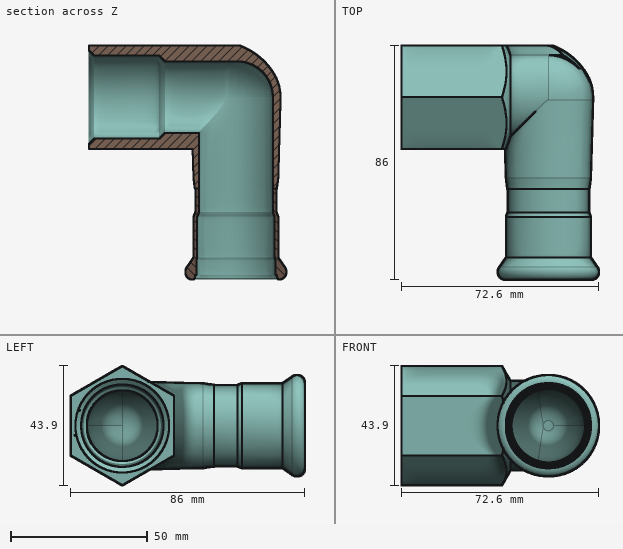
import cadquery as cq
import math


hex_corner_diameter = 43.9
hex_corner_radius = hex_corner_diameter / 2
hex_flat_radius = hex_corner_radius * math.cos(math.radians(30))
hex_mouth_x = -53.9
hex_corner_end_x = -17.0
hex_chamfer_angle = 30.0

neck_radius = 16.5
arm_end_radius = 15.65
arm_end_y = -29.6
joint_radius = 15.1
joint_y = -33.6

ridge_crest_half_width = 1.6
ridge_foot_half_width = 5.9
ridge_foot_y = 15.4
ridge_nose_start_x = 1.5
ridge_nose_mid = (8.2, 15.2)
ridge_nose_end = (12.7, 10.6)

branch_bore_radius = 26.0 / 2
thread_radius = 30.3 / 2
thread_mouth_radius = 17.2
thread_depth = 25.8
tube_bore_radius = 27.0 / 2
bore_end_flat_radius = 1.9
bore_end_round_mid = (9.7, 9.2)

tube_radius = 30.0 / 2
socket_radius = 31.3 / 2
socket_bore_radius = 28.2 / 2
step_start_y = -42.2
step_end_y = -43.9
lip_bore_start_y = -59.7
bead_start_y = -58.8
bead_shoulder_y = -62.2
bead_shoulder_radius = 18.0
bead_crest_radius = 18.7
bead_crest_y = -64.15
mouth_y = hex_flat_radius - 86.0
mouth_radius = 31.3 / 2
lip_radius = 28.8 / 2
lip_depth = 1.7
mouth_step_radius = 30.0 / 2
mouth_step_depth = 0.7


def revolve_about_x(profile):
    return profile.close().revolve(360, (0, 0, 0), (1, 0, 0))


def revolve_about_y(profile):
    return profile.close().revolve(360, (0, 0, 0), (0, 1, 0))


def make_hexagon():
    """Hexagonal prism with a turned chamfer on its inner end."""
    chamfer_height = hex_corner_radius - neck_radius
    chamfer_end_x = hex_corner_end_x + chamfer_height * math.tan(math.radians(hex_chamfer_angle))
    prism = (
        cq.Workplane("YZ", origin=(hex_mouth_x, 0, 0))
        .transformed(rotate=(0, 0, 90))
        .polygon(6, hex_corner_diameter)
        .extrude(chamfer_end_x - hex_mouth_x)
    )
    envelope = revolve_about_x(
        cq.Workplane("XY")
        .moveTo(hex_mouth_x, 0)
        .lineTo(hex_mouth_x, hex_corner_radius)
        .lineTo(hex_corner_end_x, hex_corner_radius)
        .lineTo(chamfer_end_x, neck_radius)
        .lineTo(chamfer_end_x, 0)
    )
    return prism.intersect(envelope)


def make_ridge():
    """Trapezoidal rib along X, with a nose turned about the Y axis."""
    rib = (
        cq.Workplane("YZ", origin=(hex_corner_end_x, 0, 0))
        .polyline([
            (0, -ridge_foot_half_width),
            (ridge_foot_y, -ridge_foot_half_width),
            (hex_flat_radius, -ridge_crest_half_width),
            (hex_flat_radius, ridge_crest_half_width),
            (ridge_foot_y, ridge_foot_half_width),
            (0, ridge_foot_half_width),
        ])
        .close()
        .extrude(ridge_nose_end[0] - hex_corner_end_x)
    )
    nose = revolve_about_y(
        cq.Workplane("XY")
        .lineTo(0, hex_flat_radius)
        .lineTo(ridge_nose_start_x, hex_flat_radius)
        .threePointArc(ridge_nose_mid, ridge_nose_end)
        .lineTo(ridge_nose_end[0], 0)
    )
    straight_half = cq.Workplane("XY").box(
        -hex_corner_end_x, hex_corner_diameter, hex_corner_diameter
    ).translate((hex_corner_end_x / 2, 0, 0))
    return rib.intersect(straight_half.union(nose))


def make_elbow_bores():
    """Threaded branch bore and the round-ended bore of the press branch."""
    chamfer_x = hex_mouth_x + thread_mouth_radius - thread_radius
    thread_end_x = hex_mouth_x + thread_depth
    branch_bore_x = thread_end_x + thread_radius - branch_bore_radius
    branch = revolve_about_x(
        cq.Workplane("XY")
        .moveTo(hex_mouth_x, 0)
        .lineTo(hex_mouth_x, thread_mouth_radius)
        .lineTo(chamfer_x, thread_radius)
        .lineTo(thread_end_x, thread_radius)
        .lineTo(branch_bore_x, branch_bore_radius)
        .lineTo(0, branch_bore_radius)
        .lineTo(0, 0)
    )
    arm = revolve_about_y(
        cq.Workplane("XY")
        .moveTo(0, joint_y)
        .lineTo(tube_bore_radius, joint_y)
        .lineTo(tube_bore_radius, 0)
        .threePointArc(bore_end_round_mid, (bore_end_flat_radius, branch_bore_radius))
        .lineTo(0, branch_bore_radius)
    )
    return branch.union(arm)


def make_elbow():
    neck = (
        cq.Workplane("YZ", origin=(hex_corner_end_x, 0, 0))
        .circle(neck_radius)
        .extrude(-hex_corner_end_x)
    )
    corner = cq.Workplane("XY").sphere(neck_radius)
    arm = revolve_about_y(
        cq.Workplane("XY")
        .lineTo(neck_radius, 0)
        .lineTo(arm_end_radius, arm_end_y)
        .lineTo(joint_radius, joint_y)
        .lineTo(0, joint_y)
    )
    body = neck.union(corner).union(arm).union(make_hexagon()).union(make_ridge())
    return body.cut(make_elbow_bores())


def make_press_socket():
    """Stepped tube with a rounded bead at its mouth, butted against the elbow arm."""
    lip_y = mouth_y + lip_depth
    return revolve_about_y(
        cq.Workplane("XY")
        .moveTo(tube_bore_radius, joint_y)
        .lineTo(tube_radius, joint_y)
        .lineTo(tube_radius, step_start_y)
        .lineTo(socket_radius, step_end_y)
        .lineTo(socket_radius, bead_start_y)
        .lineTo(bead_shoulder_radius, bead_shoulder_y)
        .threePointArc((bead_crest_radius, bead_crest_y), (mouth_radius, mouth_y))
        .lineTo(mouth_step_radius, mouth_y + mouth_step_depth)
        .lineTo(mouth_step_radius, lip_y)
        .lineTo(lip_radius, lip_y)
        .lineTo(lip_radius, lip_bore_start_y)
        .lineTo(socket_bore_radius, bead_start_y)
        .lineTo(socket_bore_radius, step_end_y)
        .lineTo(tube_bore_radius, step_start_y)
    )


elbow = make_elbow()
press_socket = make_press_socket()
result = cq.Compound.makeCompound([elbow.val(), press_socket.val()])